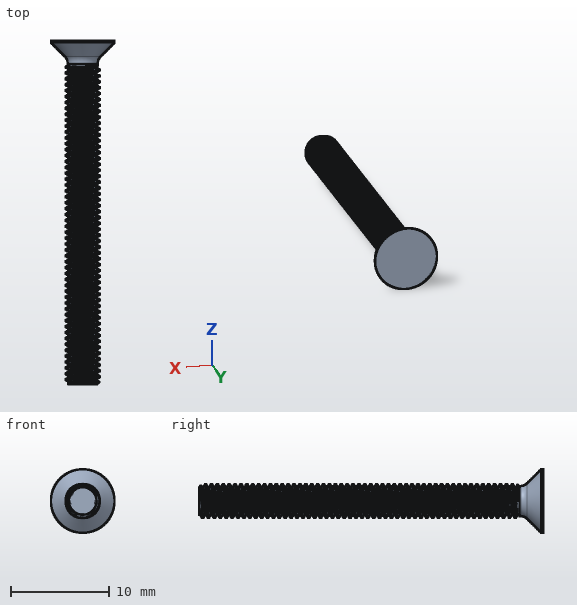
import cadquery as cq
import math

LENGTH = 35.0

HEAD_RADIUS = 6.5 / 2
RIM_HEIGHT = 0.22
NECK_FILLET = 0.9
CONE_ANGLE = math.radians(45)

MAJOR_RADIUS = 3.5 / 2
PITCH = 0.6
MINOR_RADIUS = 2.8 / 2
NECK_RADIUS = 3.1 / 2
THREAD_START = 2.4
CREST_WIDTH = PITCH / 8
FLANK_ANGLE = math.radians(30)
ROOT_OVERLAP = 0.05
END_CHAMFER_LENGTH = 0.3


def revolve_about_y(outline):
    """Turn a closed outline in the XY plane fully around the Y axis."""
    return outline.close().revolve(360, (0, 0, 0), (0, 1, 0))


def make_head():
    """Rim, countersink cone and the concave fillet that runs into the neck."""
    tangent_drop = NECK_FILLET * math.tan(CONE_ANGLE / 2)
    corner_depth = RIM_HEIGHT + (HEAD_RADIUS - NECK_RADIUS) / math.tan(CONE_ANGLE)
    fillet_top = (
        NECK_RADIUS + tangent_drop * math.sin(CONE_ANGLE),
        -corner_depth + tangent_drop * math.cos(CONE_ANGLE),
    )
    fillet_bottom_depth = corner_depth + tangent_drop
    middle_angle = CONE_ANGLE / 2
    fillet_middle = (
        NECK_RADIUS + NECK_FILLET * (1 - math.cos(middle_angle)),
        -fillet_bottom_depth + NECK_FILLET * math.sin(middle_angle),
    )
    outline = (
        cq.Workplane("XY")
        .lineTo(HEAD_RADIUS, 0)
        .lineTo(HEAD_RADIUS, -RIM_HEIGHT)
        .lineTo(*fillet_top)
        .threePointArc(fillet_middle, (NECK_RADIUS, -fillet_bottom_depth))
        .lineTo(NECK_RADIUS, -THREAD_START)
        .lineTo(0, -THREAD_START)
    )
    return revolve_about_y(outline)


def make_core():
    """Cylinder at the thread root, from inside the head to the tip."""
    outline = (
        cq.Workplane("XY")
        .moveTo(0, -RIM_HEIGHT)
        .lineTo(MINOR_RADIUS, -RIM_HEIGHT)
        .lineTo(MINOR_RADIUS, -LENGTH)
        .lineTo(0, -LENGTH)
    )
    return revolve_about_y(outline)


def make_ridge():
    """Right-handed ridge whose crests cross the +X side at whole pitches from the head."""
    first_turn = math.floor(THREAD_START / PITCH)
    last_turn = math.ceil(LENGTH / PITCH) + 1
    base_radius = MINOR_RADIUS - ROOT_OVERLAP
    half_crest = CREST_WIDTH / 2
    half_base = half_crest + (MAJOR_RADIUS - base_radius) * math.tan(FLANK_ANGLE)
    profile = (
        cq.Workplane("XZ")
        .moveTo(base_radius, -half_base)
        .lineTo(MAJOR_RADIUS, -half_crest)
        .lineTo(MAJOR_RADIUS, half_crest)
        .lineTo(base_radius, half_base)
        .close()
    )
    helix = cq.Wire.makeHelix(PITCH, (last_turn - first_turn) * PITCH, MINOR_RADIUS)
    ridge = profile.sweep(cq.Workplane(obj=helix), isFrenet=True)
    return ridge.rotate((0, 0, 0), (1, 0, 0), -90).translate((0, -last_turn * PITCH, 0))


def make_thread_envelope():
    """Space the thread may fill: a cylinder chamfered at the neck and at the tip."""
    outline = (
        cq.Workplane("XY")
        .moveTo(0, -THREAD_START)
        .lineTo(MINOR_RADIUS, -THREAD_START)
        .lineTo(MAJOR_RADIUS, -THREAD_START - END_CHAMFER_LENGTH)
        .lineTo(HEAD_RADIUS, -THREAD_START - END_CHAMFER_LENGTH)
        .lineTo(HEAD_RADIUS, -LENGTH + END_CHAMFER_LENGTH)
        .lineTo(MAJOR_RADIUS, -LENGTH + END_CHAMFER_LENGTH)
        .lineTo(MINOR_RADIUS, -LENGTH)
        .lineTo(0, -LENGTH)
    )
    return revolve_about_y(outline)


ridge = make_ridge().intersect(make_thread_envelope())
result = make_core().union(ridge).union(make_head())